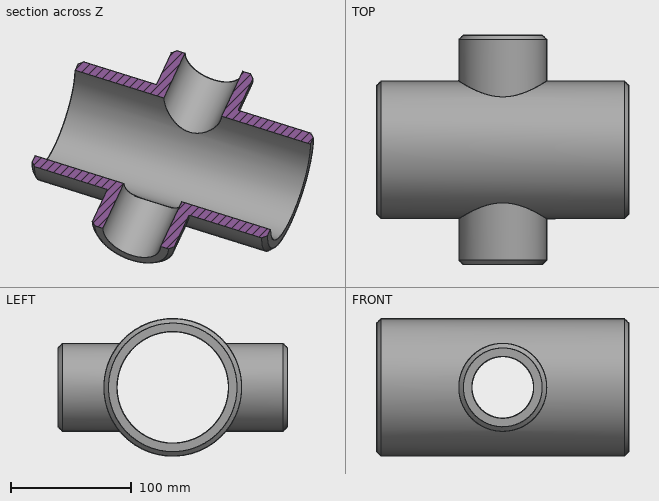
import cadquery as cq

run_length = 209.3
run_diameter = 114.3
run_bore = 92.3

branch_length = 190.5
branch_diameter = 73.0
branch_bore = 51.0

bevel = 3.8


def centered_cylinder(plane, diameter, length):
    """Cylinder centred on the origin, its axis along the normal of the plane."""
    return cq.Workplane(plane).circle(diameter / 2).extrude(length / 2, both=True)


def beveled_bar(plane, diameter, length, end_faces):
    """Solid bar with a bevel around the outer edge of both ends."""
    bar = centered_cylinder(plane, diameter, length)
    return bar.faces(end_faces).edges().chamfer(bevel)


run = beveled_bar("YZ", run_diameter, run_length, "|X")
branch = beveled_bar("XZ", branch_diameter, branch_length, "|Y")
body = run.union(branch)

run_hole = centered_cylinder("YZ", run_bore, run_length)
branch_hole = centered_cylinder("XZ", branch_bore, branch_length)

result = body.cut(run_hole).cut(branch_hole)